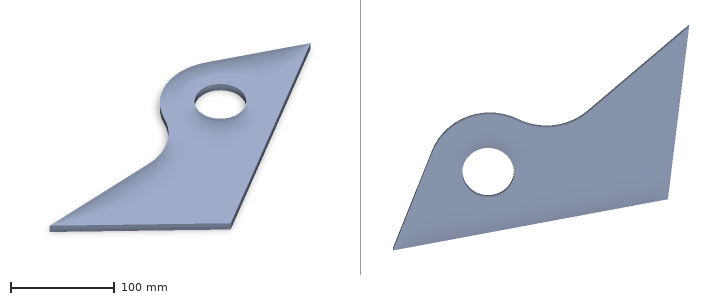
import cadquery as cq
import math

thickness = 8.0
hole_radius = 25.0
head_radius = 60.0
head_center = (1.5, -1.3)
valley_radius = head_radius
valley_drop = 74.7

foot_tip = (-107.0, -220.2)
heel = (60.5, -166.0)
top_tip = (59.5, 106.0)

center_distance = head_radius + valley_radius
valley_offset = math.sqrt(center_distance**2 - valley_drop**2)
valley_center = (head_center[0] - valley_offset, head_center[1] - valley_drop)


def point_on_circle(center, radius, angle):
    return (center[0] + radius * math.cos(angle), center[1] + radius * math.sin(angle))


def direction(start, end):
    return math.atan2(end[1] - start[1], end[0] - start[0])


def tangent_angle(center, radius, corner):
    """Angle of the contact point of the counterclockwise tangent from a corner."""
    return direction(center, corner) + math.acos(radius / math.dist(center, corner))


head_start = tangent_angle(head_center, head_radius, top_tip)
head_end = direction(head_center, valley_center) + 2 * math.pi
valley_start = direction(valley_center, head_center)
valley_end = tangent_angle(valley_center, valley_radius, foot_tip)

outline = (
    cq.Workplane("XY")
    .moveTo(*heel)
    .lineTo(*top_tip)
    .lineTo(*point_on_circle(head_center, head_radius, head_start))
    .threePointArc(
        point_on_circle(head_center, head_radius, (head_start + head_end) / 2),
        point_on_circle(head_center, head_radius, head_end),
    )
    .threePointArc(
        point_on_circle(valley_center, valley_radius, (valley_start + valley_end) / 2),
        point_on_circle(valley_center, valley_radius, valley_end),
    )
    .lineTo(*foot_tip)
    .close()
)

plate = outline.extrude(thickness)
hole = cq.Workplane("XY").circle(hole_radius).extrude(thickness)
result = plate.cut(hole)